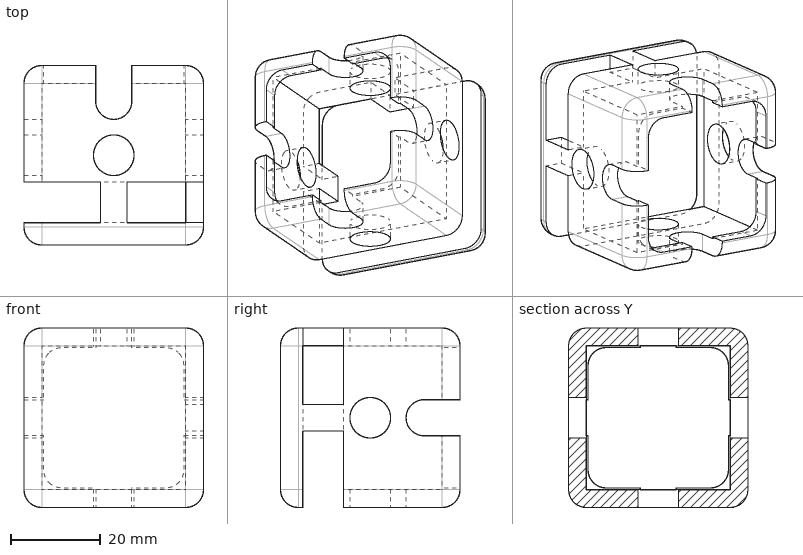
import cadquery as cq

side = 40.0
wall = 4.0
edge_radius = 4.0
plate_thickness = 5.0
gap_width = 9.0
strut_width = 6.0
hole_diameter = 9.0
back_lip = 0.4
back_corner_radius = 4.0
slot_width = 8.0
slot_depth = 12.0

half = side / 2
plate_back = -half + plate_thickness
box_front = plate_back + gap_width
inner_side = side - 2 * wall
back_opening = inner_side - 2 * back_lip
cavity_back = half - wall


def block(width, y_start, y_end, height):
    """Block centred on X and Z that spans y_start to y_end."""
    length = y_end - y_start
    return cq.Workplane("XY").box(width, length, height).translate((0, y_start + length / 2, 0))


def vertical_cutter():
    """Round hole and open-ended back slot, running through the part along Z."""
    slot_radius = slot_width / 2
    slot_centre = half - slot_depth + slot_radius
    hole = cq.Workplane("XY").circle(hole_diameter / 2).extrude(half, both=True)
    slot_end = cq.Workplane("XY").center(0, slot_centre).circle(slot_radius).extrude(half, both=True)
    slot = block(slot_width, slot_centre, half, side)
    return hole.union(slot_end).union(slot)


def strut():
    """Bar flush with the top face, bridging the gap along Y."""
    bar = block(strut_width, plate_back, box_front, wall)
    return bar.translate((0, 0, half - wall / 2))


def turn_to_side(shape):
    """Turn a shape about Y so that its top faces +X."""
    return shape.rotate((0, 0, 0), (0, 1, 0), 90)


result = cq.Workplane("XY").box(side, side, side).edges().fillet(edge_radius)
result = result.cut(block(side, plate_back, box_front, side))
result = result.cut(block(inner_side, box_front, cavity_back, inner_side))

back_cutter = block(back_opening, cavity_back, half, back_opening).edges("|Y").fillet(back_corner_radius)
result = result.cut(back_cutter)

result = result.union(strut()).union(turn_to_side(strut()))

result = result.cut(vertical_cutter()).cut(turn_to_side(vertical_cutter()))